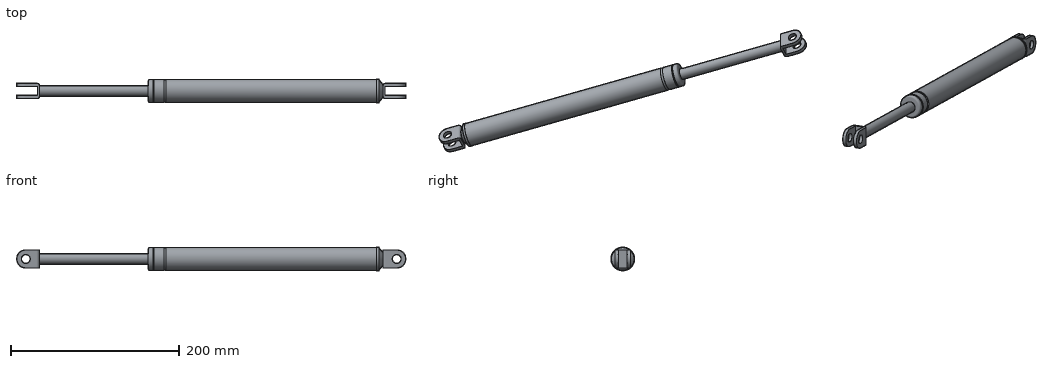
import cadquery as cq

overall_length = 462.0

fork_length = 27.3
fork_width = 18.5
fork_height = 21.5
fork_gap = 10.0
fork_base_thickness = 3.0
fork_bend_radius = 3.2
eye_diameter = 10.0
tip_radius = fork_height / 2

rod_diameter = 13.0

cylinder_start = 156.0
cylinder_radius = 14.0
front_rounding = 2.5
groove_depth = 0.7
crimp_position = 162.5
crimp_width = 1.5
guide_groove_position = 176.0
guide_groove_width = 3.0

rim_start = 427.5
rim_radius = 14.1
rim_width = 3.0
neck_large_radius = 13.5
neck_small_radius = 8.0

rim_end = rim_start + rim_width
neck_end = overall_length - fork_length


def make_fork():
    """Fork with its tip at X = 0, opening toward -X, with eyes along Y."""
    fork = (
        cq.Workplane("XZ")
        .moveTo(tip_radius, tip_radius)
        .threePointArc((0, 0), (tip_radius, -tip_radius))
        .lineTo(fork_length, -tip_radius)
        .lineTo(fork_length, tip_radius)
        .close()
        .extrude(fork_width / 2, both=True)
    )
    fork = fork.faces(">X").edges("|Z").fillet(fork_bend_radius)
    slot = cq.Workplane("XY").box(
        fork_length - fork_base_thickness, fork_gap, fork_height, centered=(False, True, True)
    )
    eye = (
        cq.Workplane("XZ")
        .center(tip_radius, 0)
        .circle(eye_diameter / 2)
        .extrude(fork_width / 2, both=True)
    )
    return fork.cut(slot).cut(eye)


def make_groove(position, width):
    """Ring that cuts a shallow round-bottomed groove, centred at the given X."""
    bottom_radius = cylinder_radius - groove_depth
    return (
        cq.Workplane("XY")
        .moveTo(position - width / 2, cylinder_radius)
        .threePointArc((position, bottom_radius), (position + width / 2, cylinder_radius))
        .close()
        .revolve(360, (0, 0, 0), (1, 0, 0))
    )


def make_rod():
    """Rod with its fork; the rod meets the front face of the cylinder."""
    shaft = (
        cq.Workplane("YZ", origin=(fork_length, 0, 0))
        .circle(rod_diameter / 2)
        .extrude(cylinder_start - fork_length)
    )
    return make_fork().union(shaft)


def make_cylinder():
    """Cylinder with rounded front, grooves, rim, tapered neck and fork."""
    barrel = (
        cq.Workplane("YZ", origin=(cylinder_start, 0, 0))
        .circle(cylinder_radius)
        .extrude(rim_start - cylinder_start)
        .faces("<X")
        .edges()
        .fillet(front_rounding)
    )
    barrel = barrel.cut(make_groove(crimp_position, crimp_width))
    barrel = barrel.cut(make_groove(guide_groove_position, guide_groove_width))
    rim_and_neck = (
        cq.Workplane("XY")
        .moveTo(rim_start, 0)
        .lineTo(rim_start, rim_radius)
        .lineTo(rim_end, rim_radius)
        .lineTo(rim_end, neck_large_radius)
        .lineTo(neck_end, neck_small_radius)
        .lineTo(neck_end, 0)
        .close()
        .revolve(360, (0, 0, 0), (1, 0, 0))
    )
    fork = make_fork().mirror("YZ").translate((overall_length, 0, 0))
    return barrel.union(rim_and_neck).union(fork)


rod = make_rod()
cylinder = make_cylinder()

result = cq.Compound.makeCompound([rod.val(), cylinder.val()])